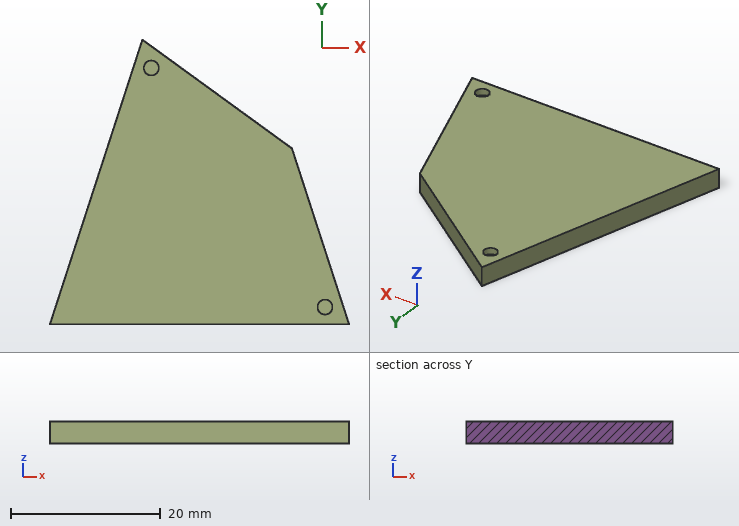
import cadquery as cq
import math

corner_radius = 40.0
thickness = 3.0
wedge_angle = 36.0

hole_diameter = 2.0
hole_depth = 1.0
hole_radius_from_apex = 36.85
hole_angle_from_edge = 3.6


def polar(radius, angle):
    """Point at a distance from the apex and an angle in degrees from +X."""
    return radius * math.cos(math.radians(angle)), radius * math.sin(math.radians(angle))


apex = (0, 0)
outer_corners = [polar(corner_radius, step * wedge_angle) for step in range(3)]
plate = cq.Workplane("XY").polyline([apex] + outer_corners).close().extrude(thickness)

hole_angles = (hole_angle_from_edge, 2 * wedge_angle - hole_angle_from_edge)
hole_centers = [polar(hole_radius_from_apex, angle) for angle in hole_angles]
holes = (
    cq.Workplane("XY", origin=(0, 0, thickness))
    .pushPoints(hole_centers)
    .circle(hole_diameter / 2)
    .extrude(-hole_depth)
)

result = plate.cut(holes)